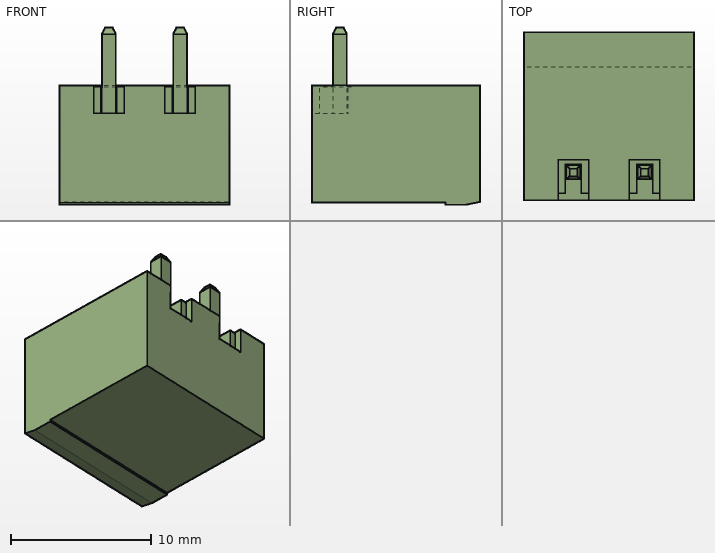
import cadquery as cq

width = 12.16
depth = 12.0
total_height = 12.65
pin_projection = 4.12
housing_top = total_height - pin_projection

lip_height = 0.15
lip_depth = 2.48
ramp_depth = 0.99
ramp_height = 0.2

contact_pitch = 5.09
pocket_width = 2.16
pocket_depth = 2.88
pocket_height = 2.0
pocket_floor = housing_top - pocket_height

collar_front = 0.52
collar_recess = 0.1
slot_width = 1.13
slot_back = 2.55

pin_size = 1.01
pin_center_y = 2.0
tip_height = 0.47
tip_size = 0.53


def box_between(x_center, x_size, y_start, y_end, z_start, z_end):
    """Box centred in X and running between the given Y and Z limits."""
    box = cq.Workplane("XY").box(x_size, y_end - y_start, z_end - z_start, centered=(True, False, False))
    return box.translate((x_center, y_start, z_start))


def make_housing():
    """Side profile in the YZ plane, swept across the full width."""
    profile = [
        (0, lip_height),
        (depth - lip_depth, lip_height),
        (depth - lip_depth, 0),
        (depth - ramp_depth, 0),
        (depth, ramp_height),
        (depth, housing_top),
        (0, housing_top),
    ]
    return cq.Workplane("YZ").polyline(profile).close().extrude(width / 2, both=True)


def make_pocket(x_center):
    return box_between(x_center, pocket_width, 0, pocket_depth, pocket_floor, housing_top)


def make_collar(x_center):
    """Collar fills the pocket except for a slot that is open at the front."""
    collar_top = housing_top - collar_recess
    block = box_between(x_center, pocket_width, collar_front, pocket_depth, pocket_floor, collar_top)
    slot = box_between(x_center, slot_width, collar_front, slot_back, pocket_floor, collar_top)
    return block.cut(slot)


def make_pin(x_center):
    """Square shaft rising from the pocket floor, with a pyramidal tip."""
    shaft_height = total_height - tip_height - pocket_floor
    shaft = (
        cq.Workplane("XY", origin=(x_center, pin_center_y, pocket_floor))
        .rect(pin_size, pin_size)
        .extrude(shaft_height)
    )
    tip = (
        cq.Workplane("XY", origin=(x_center, pin_center_y, total_height - tip_height))
        .rect(pin_size, pin_size)
        .workplane(offset=tip_height)
        .rect(tip_size, tip_size)
        .loft(ruled=True)
    )
    return shaft.union(tip)


result = make_housing()
for contact_x in (-contact_pitch / 2, contact_pitch / 2):
    result = result.cut(make_pocket(contact_x))
    result = result.union(make_collar(contact_x))
    result = result.union(make_pin(contact_x))